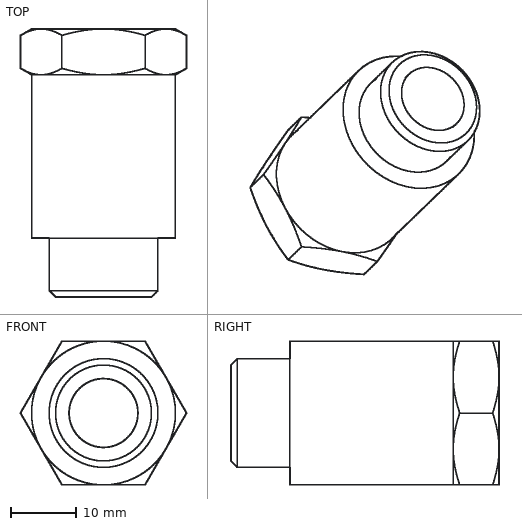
import cadquery as cq
import math

total_length = 41.0
hex_sides = 6
hex_length = 7.0
neck_length = 9.0
across_flats = 22.0
body_diameter = across_flats
neck_diameter = 16.65
bore_diameter = 10.5
neck_chamfer = 1.0
hex_chamfer_angle = 30.0

across_corners = across_flats / math.cos(math.pi / hex_sides)
front_y = -total_length / 2
back_y = total_length / 2
shoulder_y = front_y + neck_length
hex_front_y = back_y - hex_length


def cylinder(diameter, start_y, end_y):
    """Round bar along Y between two stations."""
    bar = cq.Workplane("XZ", origin=(0, start_y, 0)).circle(diameter / 2)
    return bar.extrude(start_y - end_y)


def hex_head():
    """Hexagon with corners on X, its corners bevelled conically at both ends."""
    prism = (
        cq.Workplane("XZ", origin=(0, hex_front_y, 0))
        .polygon(hex_sides, across_corners)
        .extrude(-hex_length)
    )
    flat_radius = across_flats / 2
    corner_radius = across_corners / 2
    bevel = (corner_radius - flat_radius) * math.tan(math.radians(hex_chamfer_angle))
    envelope = (
        cq.Workplane("XY")
        .moveTo(0, hex_front_y)
        .lineTo(flat_radius, hex_front_y)
        .lineTo(corner_radius, hex_front_y + bevel)
        .lineTo(corner_radius, back_y - bevel)
        .lineTo(flat_radius, back_y)
        .lineTo(0, back_y)
        .close()
        .revolve(360, (0, 0, 0), (0, 1, 0))
    )
    return prism.intersect(envelope)


def neck():
    """Narrow front spigot with a chamfered free end."""
    return cylinder(neck_diameter, front_y, shoulder_y).faces("<Y").chamfer(neck_chamfer)


body = cylinder(body_diameter, shoulder_y, hex_front_y)
bore = cylinder(bore_diameter, front_y, back_y)

result = hex_head().union(body).union(neck()).cut(bore)